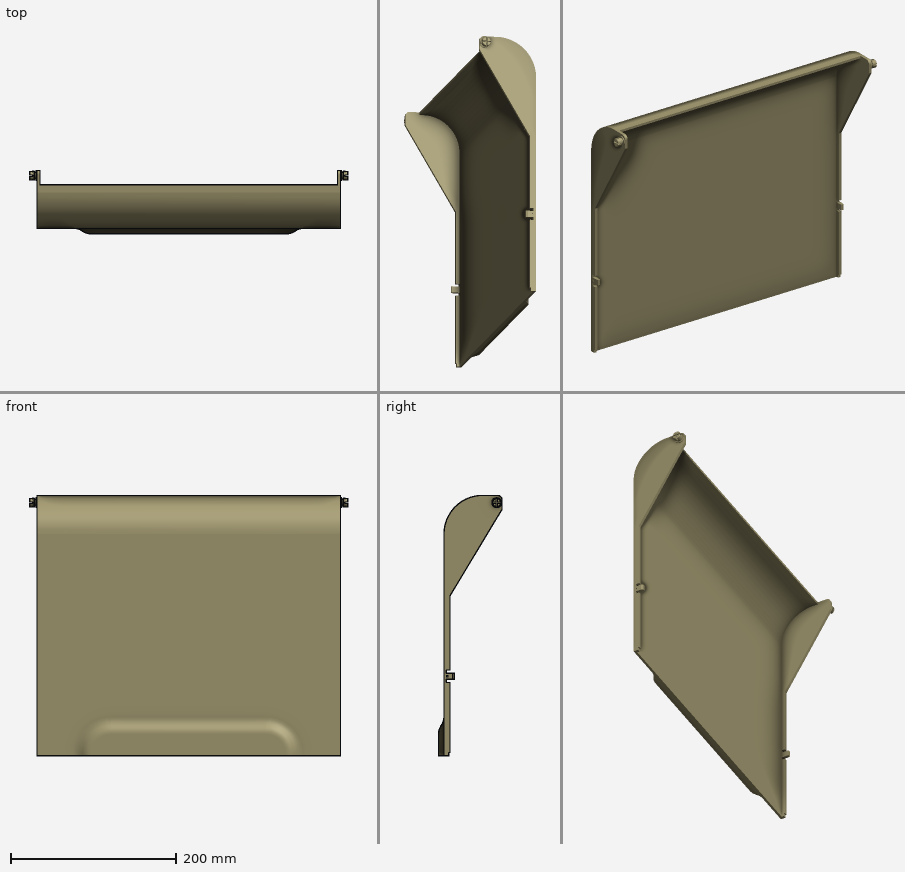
import cadquery as cq
import math

overall_width = 385.0
height = 315.0
cover_width = 367.0
skin = 3.0

hood_depth = 43.0
hood_drop = 47.0
lip_end = 53.0

cheek_thickness = 4.0
ear_back = 70.5
ear_low = 298.0
ear_radius = 5.5
rim_depth = 7.7
rim_top = 193.5
foot_step_depth = 1.5
foot_step_height = 4.0

tab_middle = 96.2
notch_height = 14.5
tab_height = 7.7
tab_end = 12.7
tab_lead_length = 2.5
tab_lead_depth = 0.8
tab_groove_length = 2.0
tab_groove_height = 2.0
tab_groove_depth = 1.0

pin_y = 64.0
pin_z = 306.0
collar_diameter = 12.0
collar_length = 1.0
neck_diameter = 8.5
head_diameter = 10.8
head_length = 6.0
head_chamfer = 0.58
head_slot_width = 1.5
head_slot_depth = 4.0

grip_center_x = 93.5
grip_center_z = 2.0
grip_radius = 44.5
grip_height = 6.5
grip_curve_run = 9.0
grip_ramp_run = 2.5
grip_flank_angle = math.radians(32)

half_cover = cover_width / 2
panel_top = height - hood_drop


def front_outline(inset):
    """Front line and hood arc of the cover, moved inward by inset."""
    arc_radius = (hood_depth**2 + hood_drop**2) / (2 * hood_depth)
    arc_end = arc_radius - math.sqrt((arc_radius - inset) ** 2 - (hood_drop - inset) ** 2)
    return (
        cq.Workplane("YZ")
        .moveTo(inset, 0)
        .lineTo(inset, panel_top)
        .tangentArcPoint((arc_end, height - inset), relative=False)
    )


def hood_block(inset):
    """Everything behind the inset front outline, back to the end of the lip."""
    outline = front_outline(inset).lineTo(lip_end, height - inset).lineTo(lip_end, 0).close()
    return outline.extrude(half_cover, both=True)


def cheek():
    """Plate at the -X end, with the ear, the rim, the notch and the snap tab."""
    plate = (
        front_outline(0)
        .lineTo(ear_back - ear_radius, height)
        .tangentArcPoint((ear_back, height - ear_radius), relative=False)
        .lineTo(ear_back, ear_low)
        .lineTo(rim_depth, rim_top)
        .lineTo(rim_depth, foot_step_height)
        .lineTo(rim_depth - foot_step_depth, foot_step_height)
        .lineTo(rim_depth - foot_step_depth, 0)
        .close()
        .extrude(cheek_thickness)
    )
    notch = cq.Workplane("YZ").center((skin + rim_depth) / 2, tab_middle)
    notch = notch.rect(rim_depth - skin, notch_height).extrude(cheek_thickness)
    tab = cq.Workplane("YZ").center(tab_end / 2, tab_middle)
    tab = tab.rect(tab_end, tab_height).extrude(cheek_thickness)
    tab_lead = (
        cq.Workplane("XY", origin=(0, tab_end, tab_middle))
        .lineTo(0, -tab_lead_length)
        .lineTo(tab_lead_depth, 0)
        .close()
        .extrude(tab_height / 2, both=True)
    )
    groove = cq.Workplane("YZ").center(skin + tab_groove_length / 2, tab_middle)
    groove = groove.rect(tab_groove_length, tab_groove_height).extrude(tab_groove_depth)
    tab = tab.cut(tab_lead).cut(groove)
    return plate.cut(notch).union(tab).translate((-half_cover, 0, 0))


def hinge_pin():
    """Collar, neck and chamfered head with crossed slots, pointing out of the -X ear."""
    axis = cq.Workplane("YZ", origin=(-half_cover, pin_y, pin_z))
    pin_length = (overall_width - cover_width) / 2
    collar = axis.circle(collar_diameter / 2).extrude(-collar_length)
    neck = axis.circle(neck_diameter / 2).extrude(-pin_length)
    tip = axis.workplane(offset=-pin_length)
    head = tip.circle(head_diameter / 2).extrude(head_length).edges().chamfer(head_chamfer)
    slot = tip.rect(head_diameter, head_slot_width).extrude(head_slot_depth)
    cross_slot = tip.rect(head_slot_width, head_diameter).extrude(head_slot_depth)
    return collar.union(neck).union(head).cut(slot).cut(cross_slot)


def grip_section(plane, inner):
    """Half section of the grip, from the inner position out to its S-shaped flank."""
    curve_radius = grip_curve_run / math.sin(grip_flank_angle)
    curve_rise = curve_radius * (1 - math.cos(grip_flank_angle))
    crown_radius = grip_radius - 2 * grip_curve_run - grip_ramp_run
    return (
        plane.moveTo(inner, skin)
        .lineTo(inner, -grip_height)
        .lineTo(crown_radius, -grip_height)
        .tangentArcPoint((grip_curve_run, curve_rise))
        .lineTo(grip_radius - grip_curve_run, -curve_rise)
        .tangentArcPoint((grip_radius, 0), relative=False)
        .lineTo(grip_radius, skin)
        .close()
    )


def grip():
    """Raised pad with quarter-round upper corners, cut off level with the bottom."""
    bar_plane = cq.Workplane(cq.Plane((0, 0, grip_center_z), xDir=(0, 0, 1), normal=(-1, 0, 0)))
    pad = grip_section(bar_plane, -grip_center_z).extrude(grip_center_x, both=True)
    for side in (-1, 1):
        corner_plane = cq.Workplane("XY", origin=(side * grip_center_x, 0, grip_center_z))
        corner = grip_section(corner_plane, 0).revolve(360, (0, 0, 0), (0, 1, 0))
        pad = pad.union(corner)
    keep = cq.Workplane("XY").box(overall_width, height, height, centered=(True, True, False))
    return pad.intersect(keep)


cover = hood_block(0).cut(hood_block(skin))
end_parts = cheek().union(hinge_pin())
result = cover.union(end_parts).union(end_parts.mirror("YZ")).union(grip())